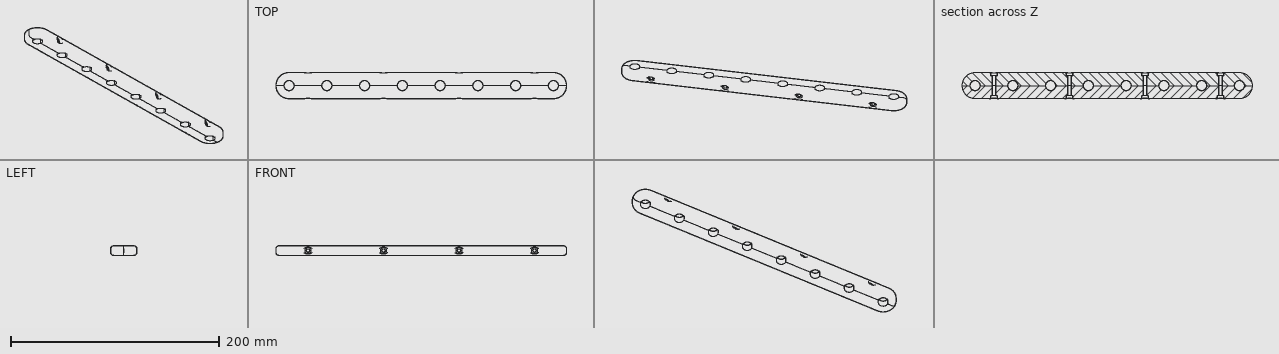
import cadquery as cq

length = 279.4
width = 25.4
thickness = 9.4
edge_radius = 3.0

hole_count = 8
hole_diameter = 9.525
hole_pitch = (length - width) / (hole_count - 1)

screw_count = hole_count // 2
screw_pitch = 2 * hole_pitch
screw_diameter = 3.0
counterbore_diameter = 6.0
counterbore_depth = 3.0
mouth_round_radius = 1.5


def centred_positions(count, pitch):
    """X positions of a row of features centred on the origin."""
    first = -pitch * (count - 1) / 2
    return [first + i * pitch for i in range(count)]


def make_bar():
    """Bar with round ends and rounded top and bottom edges."""
    bar = cq.Workplane("XY").slot2D(length, width).extrude(thickness / 2, both=True)
    return bar.faces("|Z").edges().fillet(edge_radius)


def make_vertical_holes():
    """Cutters for the row of holes through the thickness."""
    points = [(x, 0) for x in centred_positions(hole_count, hole_pitch)]
    return cq.Workplane("XY").pushPoints(points).circle(hole_diameter / 2).extrude(thickness, both=True)


def make_half_screw_hole():
    """Cutter along +Y from the split plane: screw hole, counterbore and rounded flaring mouth."""
    screw_radius = screw_diameter / 2
    bore_radius = counterbore_diameter / 2
    outer_y = width / 2
    floor_y = outer_y - counterbore_depth
    profile = (
        cq.Workplane("XY")
        .lineTo(screw_radius, 0)
        .lineTo(screw_radius, floor_y)
        .lineTo(bore_radius, floor_y)
        .lineTo(bore_radius, outer_y - mouth_round_radius)
        .radiusArc((bore_radius + mouth_round_radius, outer_y), mouth_round_radius)
        .lineTo(0, outer_y)
        .close()
    )
    return profile.revolve(360, (0, 0, 0), (0, 1, 0))


def make_back_half():
    """Half of the bar on the +Y side of the lengthwise split plane."""
    back_side = cq.Workplane("XY").box(length, width / 2, thickness).translate((0, width / 4, 0))
    half = make_bar().cut(make_vertical_holes()).intersect(back_side)
    screw_hole = make_half_screw_hole()
    for x in centred_positions(screw_count, screw_pitch):
        half = half.cut(screw_hole.translate((x, 0, 0)))
    return half.solids()


back_half = make_back_half()
front_half = back_half.mirror("XZ")

result = cq.Compound.makeCompound([front_half.val(), back_half.val()])